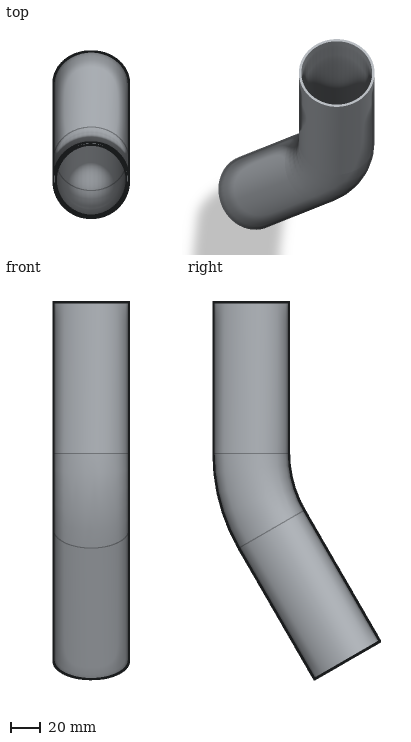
import cadquery as cq
import math

overall_height = 253.0
outer_diameter = 50.9
inner_diameter = 47.5
upper_leg_length = 101.5
bend_radius = 2 * outer_diameter
bend_angle = 30.0

sin_bend = math.sin(math.radians(bend_angle))
cos_bend = math.cos(math.radians(bend_angle))

outer_bend_drop = (bend_radius + outer_diameter / 2) * sin_bend
lower_leg_length = (overall_height - upper_leg_length - outer_bend_drop) / cos_bend


def bend_point(angle):
    """Centreline point (Y, Z) at an angle in degrees below the bend start."""
    turn = math.radians(angle)
    return bend_radius * (1 - math.cos(turn)), -bend_radius * math.sin(turn)


bend_end_y, bend_end_z = bend_point(bend_angle)
lower_end = (
    bend_end_y + lower_leg_length * sin_bend,
    bend_end_z - lower_leg_length * cos_bend,
)
centreline = (
    cq.Workplane("YZ")
    .moveTo(0, upper_leg_length)
    .lineTo(0, 0)
    .threePointArc(bend_point(bend_angle / 2), (bend_end_y, bend_end_z))
    .lineTo(*lower_end)
)

result = (
    cq.Workplane("XY", origin=(0, 0, upper_leg_length))
    .circle(outer_diameter / 2)
    .circle(inner_diameter / 2)
    .sweep(centreline)
)